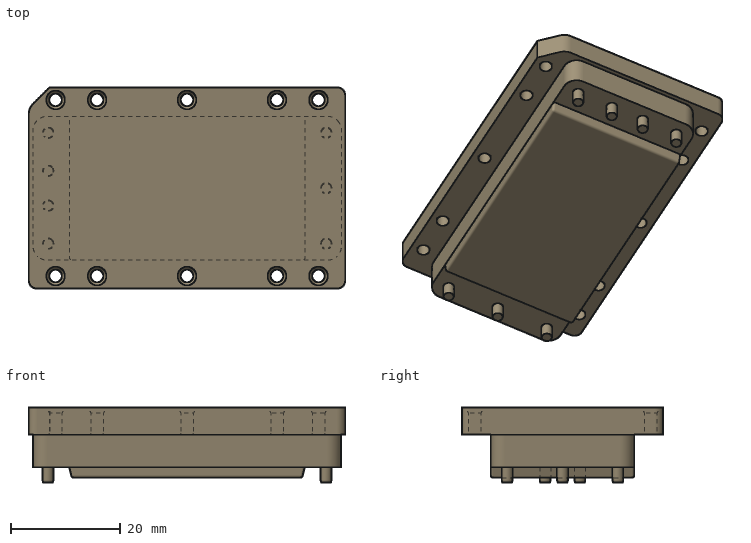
import cadquery as cq

PLATE_LENGTH = 57.9
PLATE_WIDTH = 36.85
PLATE_THICKNESS = 5.0
PLATE_CORNER_RADIUS = 1.5
KEY_CHAMFER = 3.8
KEY_BLEND_RADIUS = 2.55

HOLE_DIAMETER = 2.25
COUNTERSINK_DIAMETER = 3.4
COUNTERSINK_ANGLE = 60.0
HOLE_INNER_X = 16.45
HOLE_OUTER_X = 24.05
HOLE_ROW_Y = 16.1

CASE_LENGTH = 56.4
CASE_WIDTH = 26.3
CASE_HEIGHT = 5.95
CASE_CORNER_RADIUS = 2.55

BLOCK_TOP_LENGTH = 43.1
BLOCK_BOTTOM_LENGTH = 42.15
BLOCK_HEIGHT = 1.9
BLOCK_EDGE_RADIUS = 0.45

OVERALL_HEIGHT = 13.7
PIN_DIAMETER = 2.0
PIN_TIP_CHAMFER_HEIGHT = 0.4
PIN_TIP_CHAMFER_INSET = 0.1
PIN_X = 25.4
OUTER_PIN_Y = 10.15
INNER_PIN_Y = 3.2

CASE_TOP_Z = -PLATE_THICKNESS
CASE_BOTTOM_Z = CASE_TOP_Z - CASE_HEIGHT
PIN_LENGTH = OVERALL_HEIGHT - PLATE_THICKNESS - CASE_HEIGHT

HOLE_POSITIONS = [
    (x, y)
    for x in (-HOLE_OUTER_X, -HOLE_INNER_X, 0, HOLE_INNER_X, HOLE_OUTER_X)
    for y in (-HOLE_ROW_Y, HOLE_ROW_Y)
]
PIN_POSITIONS = [
    (-PIN_X, -OUTER_PIN_Y),
    (-PIN_X, -INNER_PIN_Y),
    (-PIN_X, INNER_PIN_Y),
    (-PIN_X, OUTER_PIN_Y),
    (PIN_X, -OUTER_PIN_Y),
    (PIN_X, 0),
    (PIN_X, OUTER_PIN_Y),
]


def make_plate():
    """Plate with one cut-off corner and two rows of countersunk holes."""
    left = -PLATE_LENGTH / 2
    right = PLATE_LENGTH / 2
    front = -PLATE_WIDTH / 2
    back = PLATE_WIDTH / 2
    key_y = back - KEY_CHAMFER
    plate = (
        cq.Workplane("XY")
        .moveTo(left, front)
        .lineTo(right, front)
        .lineTo(right, back)
        .lineTo(left + KEY_CHAMFER, back)
        .lineTo(left, key_y)
        .close()
        .extrude(-PLATE_THICKNESS)
    )
    middle_z = -PLATE_THICKNESS / 2
    for corner in ((left, front, middle_z), (right, front, middle_z), (right, back, middle_z)):
        nearest = cq.selectors.NearestToPointSelector(corner)
        plate = plate.edges(nearest).fillet(PLATE_CORNER_RADIUS)
    key_edge = cq.selectors.NearestToPointSelector((left, key_y, middle_z))
    plate = plate.edges(key_edge).fillet(KEY_BLEND_RADIUS)
    return (
        plate.faces(">Z")
        .workplane(origin=(0, 0, 0))
        .pushPoints(HOLE_POSITIONS)
        .cskHole(HOLE_DIAMETER, COUNTERSINK_DIAMETER, COUNTERSINK_ANGLE)
    )


def make_case():
    """Plain block with rounded vertical corners."""
    return (
        cq.Workplane("XY", origin=(0, 0, CASE_TOP_Z))
        .rect(CASE_LENGTH, CASE_WIDTH)
        .extrude(-CASE_HEIGHT)
        .edges("|Z")
        .fillet(CASE_CORNER_RADIUS)
    )


def make_block():
    """Trapezoid along X, as wide as the case, rounded except around its top face."""
    bottom_z = CASE_BOTTOM_Z - BLOCK_HEIGHT
    return (
        cq.Workplane("XZ", origin=(0, CASE_WIDTH / 2, 0))
        .moveTo(-BLOCK_TOP_LENGTH / 2, CASE_BOTTOM_Z)
        .lineTo(BLOCK_TOP_LENGTH / 2, CASE_BOTTOM_Z)
        .lineTo(BLOCK_BOTTOM_LENGTH / 2, bottom_z)
        .lineTo(-BLOCK_BOTTOM_LENGTH / 2, bottom_z)
        .close()
        .extrude(CASE_WIDTH)
        .edges("not >Z")
        .fillet(BLOCK_EDGE_RADIUS)
    )


def make_pin(position):
    """Round pin hanging from the case, with a chamfered tip."""
    x, y = position
    return (
        cq.Workplane("XY", origin=(x, y, CASE_BOTTOM_Z))
        .circle(PIN_DIAMETER / 2)
        .extrude(-PIN_LENGTH)
        .faces("<Z")
        .chamfer(PIN_TIP_CHAMFER_HEIGHT, PIN_TIP_CHAMFER_INSET)
    )


plate = make_plate()
case = make_case()
block = make_block()
pins = [make_pin(position) for position in PIN_POSITIONS]

result = cq.Compound.makeCompound(
    [plate.val(), case.val(), block.val(), *[pin.val() for pin in pins]]
)